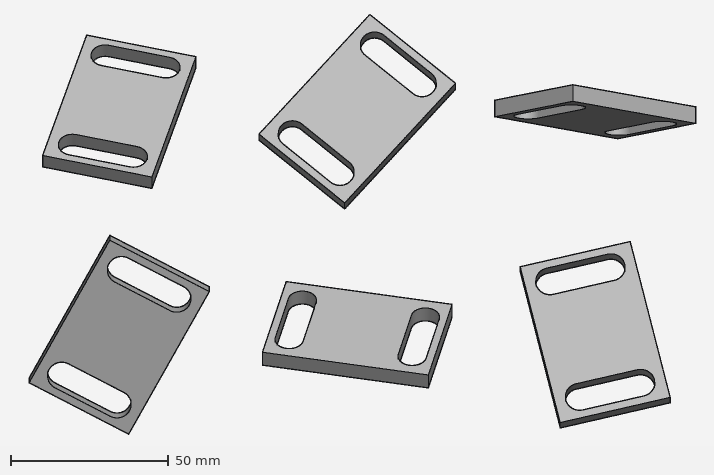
import cadquery as cq

plate_width = 36.0
plate_length = 54.0
plate_thickness = 5.4

slot_length = 29.0
slot_width = 9.0
slot_spacing = 40.0

plate = cq.Workplane("XY").box(plate_width, plate_length, plate_thickness)

result = (
    plate.faces(">Z")
    .workplane()
    .pushPoints([(0, -slot_spacing / 2), (0, slot_spacing / 2)])
    .slot2D(slot_length, slot_width)
    .cutThruAll()
)